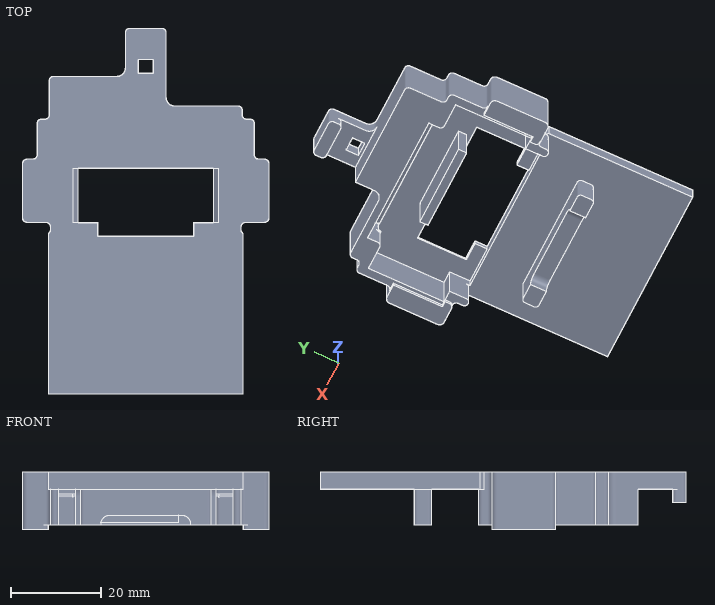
import cadquery as cq

height = 12.8
foot_height = 1.0
slab_thickness = 3.9
cover_thickness = 1.45
slab_bottom = height - slab_thickness
cover_bottom = height - cover_thickness
wall_bottom = foot_height

length = 81.0
slab_half = 43.2 / 2
neck_half = 21.15
neck_front = 35.4
neck_taper = 0.8
ear_half = 54.7 / 2
ear_front = 38.0
ear_back = 52.1
step_half = 24.05
step_back = 60.9
rear_half = 21.4
rear_left = 70.4
rear_right = 63.8
tab_half = 4.5
corner_radius = 1.9 / 2
ear_radius = 1.1
tab_root_radius = 1.9

window_half = 32.15 / 2
window_lower_half = 15.0
window_slope_depth = 0.9
window_front = 38.0
window_back = 50.0
notch_half = 10.6
notch_front = 35.0

tab_hole_width = 3.2
tab_hole_length = 3.0
tab_hole_center = 72.6
lip_length = 3.0
lip_drop = 2.9

recess_half = 22.1
recess_back = 58.65
shoulder_height = 1.0
shoulder_middle = 7.45
shoulder_setback = 0.5
shoulder_middle_setback = 0.1
upper_mouth_radius = 0.7
bay_half = 31.0 / 2
bay_back = 62.05
bay_roof_radius = cover_bottom - shoulder_middle

post_diameter = 1.9
post_front = 35.0
post_back = 40.0
rib_half = 14.5
rib_front = 20.7
rib_depth = 3.9
rib_radius = 0.8
arch_half = 10.0
arch_height = 2.2
arch_radius = 1.95
panel_left = -12.4
panel_right = 7.2
panel_front = 51.2
panel_thickness = 2.0
panel_bottom = 1.6
ear_rim = 4.4


def block(x0, x1, y0, y1, z0, z1):
    """Axis-aligned box between two opposite corners."""
    return cq.Workplane("XY").box(x1 - x0, y1 - y0, z1 - z0, centered=False).translate((x0, y0, z0))


def both_sides(shape):
    """The shape together with its mirror image across X = 0."""
    return shape.union(shape.mirror("YZ"))


def fillet_at(solid, points, radius):
    """Round the vertical edges that pass through the given XY points."""
    margin = 0.04
    for x, y in points:
        selector = cq.selectors.BoxSelector(
            (x - margin, y - margin, -height), (x + margin, y + margin, 2 * height)
        )
        solid = solid.edges("|Z").edges(selector).fillet(radius)
    return solid


def outline_body():
    """Full outline from the wall bottom to the top face, with rounded corners."""
    right = [
        (slab_half, 0),
        (slab_half, neck_front),
        (neck_half, neck_front + neck_taper),
        (neck_half, ear_front),
        (ear_half, ear_front),
        (ear_half, ear_back),
        (step_half, ear_back),
        (step_half, step_back),
        (rear_half, step_back),
    ]
    rear = [
        (rear_half, rear_right),
        (tab_half, rear_right),
        (tab_half, length),
        (-tab_half, length),
        (-tab_half, rear_left),
        (-rear_half, rear_left),
    ]
    left = [(-x, y) for x, y in reversed(right)]
    body = cq.Workplane("XY").workplane(offset=wall_bottom).polyline(right + rear + left).close()
    body = body.extrude(height - wall_bottom)

    small_corners = [
        (rear_half, rear_right), (-rear_half, rear_left), (tab_half, length), (-tab_half, length),
    ]
    for side in (-1, 1):
        small_corners += [
            (side * neck_half, ear_front),
            (side * step_half, ear_back),
            (side * step_half, step_back),
            (side * rear_half, step_back),
        ]
    ear_corners = [(side * ear_half, y) for side in (-1, 1) for y in (ear_front, ear_back)]
    body = fillet_at(body, small_corners, corner_radius)
    body = fillet_at(body, ear_corners, ear_radius)
    return fillet_at(body, [(tab_half, rear_right), (-tab_half, rear_left)], tab_root_radius)


def under_slab():
    """Space below the front slab, up to the front faces of the ears."""
    front = block(-slab_half, slab_half, 0, ear_front - corner_radius, 0, slab_bottom)
    middle = block(-neck_half, neck_half, 0, post_back, 0, slab_bottom)
    return front.union(middle)


def under_tab():
    """Space below the rear tab."""
    return block(-ear_half, ear_half, rear_left, length, 0, slab_bottom)


def recess():
    """Recess below the cover, with a two-slope shoulder in its back wall."""
    main = block(-recess_half, recess_half, post_back, recess_back, 0, cover_bottom)
    post_inside = neck_half - post_diameter
    front = block(-post_inside, post_inside, notch_front, post_back, 0, cover_bottom)

    bevel_bottom = shoulder_middle - shoulder_height / 2
    bevel_top = shoulder_middle + shoulder_height / 2
    shoulder = (
        cq.Workplane("YZ").workplane(offset=-recess_half)
        .moveTo(recess_back, bevel_bottom)
        .lineTo(recess_back + shoulder_middle_setback, shoulder_middle)
        .lineTo(recess_back + shoulder_setback, bevel_top)
        .lineTo(recess_back + shoulder_setback, cover_bottom)
        .lineTo(recess_back, cover_bottom)
        .close()
        .extrude(2 * recess_half)
    )
    return main.union(front).union(shoulder)


def mouth_corner(wall_y, radius, z0, z1):
    """Sliver removed to round the right-hand corner between the recess back wall and the bay."""
    square = block(bay_half, bay_half + radius, wall_y, wall_y + radius, z0, z1)
    kept = (
        cq.Workplane("XY").workplane(offset=z0)
        .center(bay_half + radius, wall_y + radius)
        .circle(radius)
        .extrude(z1 - z0)
    )
    return square.cut(kept)


def rear_bay():
    """Narrower bay behind the recess, with a rounded roof and rounded mouth corners."""
    bay = block(-bay_half, bay_half, ear_back, bay_back, 0, cover_bottom)
    bay = bay.faces(">Y").edges(">Z").fillet(bay_roof_radius)
    lower = mouth_corner(recess_back, corner_radius, 0, shoulder_middle)
    upper = mouth_corner(
        recess_back + shoulder_setback, upper_mouth_radius, shoulder_middle, cover_bottom
    )
    return bay.union(both_sides(lower)).union(both_sides(upper))


def window():
    """Window through the cover: sloped side faces and a straight front notch."""
    opening = (
        cq.Workplane("XZ").workplane(offset=-window_back)
        .polyline([
            (-window_half, height),
            (window_half, height),
            (window_lower_half, height - window_slope_depth),
            (window_lower_half, cover_bottom),
            (-window_lower_half, cover_bottom),
            (-window_lower_half, height - window_slope_depth),
        ])
        .close()
        .extrude(window_back - window_front)
    )
    return opening.union(block(-notch_half, notch_half, notch_front, window_front, cover_bottom, height))


def tab_hole():
    """Square hole through the rear tab."""
    return (
        cq.Workplane("XY").center(0, tab_hole_center)
        .rect(tab_hole_width, tab_hole_length)
        .extrude(height)
    )


def tab_lip():
    """Lip hanging from the end of the rear tab."""
    lip = block(-tab_half, tab_half, length - lip_length, length, slab_bottom - lip_drop, slab_bottom)
    return lip.edges("|Z").fillet(corner_radius)


def side_posts():
    """Walls with round front ends, running forward from the ears."""
    radius = post_diameter / 2
    inside = neck_half - post_diameter
    end_center = post_front + radius
    wall = block(inside, neck_half, end_center, post_back, wall_bottom, slab_bottom)
    round_end = (
        cq.Workplane("XY").workplane(offset=wall_bottom)
        .center(neck_half - radius, end_center)
        .circle(radius)
        .extrude(slab_bottom - wall_bottom)
    )
    return both_sides(wall.union(round_end))


def ear_feet():
    """L-shaped feet below the ears."""
    foot = block(slab_half, ear_half, ear_front, post_back, 0, foot_height)
    foot = foot.union(block(ear_half - ear_rim, ear_half, ear_front, ear_back, 0, foot_height))
    foot = fillet_at(foot, [(slab_half, ear_front)], corner_radius)
    foot = fillet_at(foot, [(ear_half, ear_front), (ear_half, ear_back)], ear_radius)
    return both_sides(foot)


def front_rib():
    """Cross rib below the slab with an arched opening in its lower edge."""
    rib = block(-rib_half, rib_half, rib_front, rib_front + rib_depth, wall_bottom, slab_bottom)
    rib = rib.edges("|Z").fillet(rib_radius)
    arch = block(
        -arch_half, arch_half, rib_front, rib_front + rib_depth, wall_bottom, wall_bottom + arch_height
    )
    return rib.cut(arch.edges("|Y and >Z").fillet(arch_radius))


def inner_panel():
    """Upright panel hanging from the cover behind the window."""
    return block(
        panel_left, panel_right, panel_front, panel_front + panel_thickness, panel_bottom, cover_bottom
    )


result = outline_body()
for opening_shape in (under_slab(), under_tab(), recess(), rear_bay(), window(), tab_hole()):
    result = result.cut(opening_shape)
for added_shape in (tab_lip(), side_posts(), ear_feet(), front_rib(), inner_panel()):
    result = result.union(added_shape)